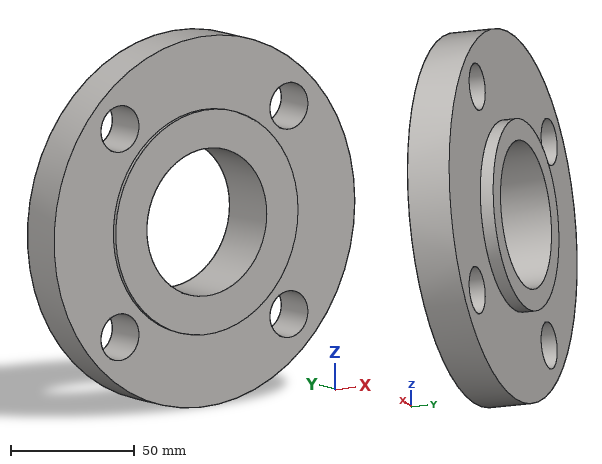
import cadquery as cq

flange_diameter = 152.0
flange_thickness = 17.9

raised_face_diameter = 92.1
raised_face_height = 1.6

overall_length = 25.0
hub_diameter = 78.0
hub_height = overall_length - flange_thickness - raised_face_height

bore_diameter = 60.5
bolt_hole_diameter = 19.1
bolt_circle_diameter = 120.7
bolt_count = 4
first_bolt_angle = 45.0


def disc(diameter, start_y, length):
    """Cylinder about the Y axis, running from start_y toward +Y."""
    return cq.Workplane("XZ").workplane(offset=-start_y).circle(diameter / 2).extrude(-length)


def bolt_holes():
    """Cutters for the bolt holes, evenly spaced on the bolt circle."""
    return (
        cq.Workplane("XZ")
        .polarArray(bolt_circle_diameter / 2, first_bolt_angle, 360, bolt_count)
        .circle(bolt_hole_diameter / 2)
        .extrude(-overall_length)
    )


flange_start = raised_face_height
hub_start = flange_start + flange_thickness

body = disc(raised_face_diameter, 0, raised_face_height)
body = body.union(disc(flange_diameter, flange_start, flange_thickness))
body = body.union(disc(hub_diameter, hub_start, hub_height))

bore = disc(bore_diameter, 0, overall_length)
result = body.cut(bore).cut(bolt_holes())